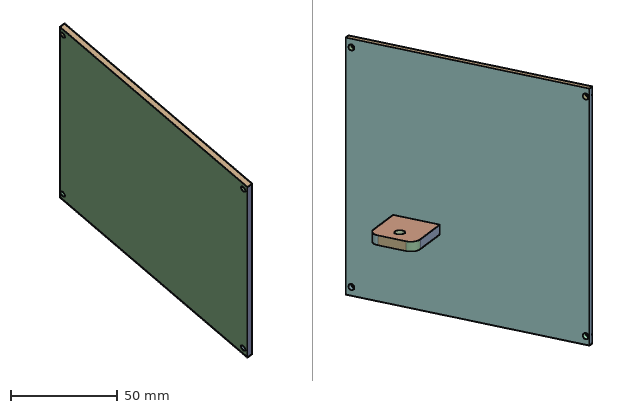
import cadquery as cq

plate_width = 130.0
plate_height = 132.0
plate_thickness = 3.0

mount_hole_diameter = 3.0
left_hole_inset = 2.0
right_hole_inset = 3.0
hole_end_inset = 4.5

overall_depth = 28.0
lug_length = overall_depth - plate_thickness
lug_width = 25.0
lug_thickness = 5.0
lug_left = 79.7
lug_bottom = 41.0
lug_corner_radius = 5.0
lug_hole_diameter = 5.0
lug_hole_tip_distance = 8.0


def make_plate():
    """Flat plate with four through holes."""
    plate = cq.Workplane("XY").box(plate_width, plate_thickness, plate_height, centered=False)
    hole_centers = [
        (x, z)
        for x in (left_hole_inset, plate_width - right_hole_inset)
        for z in (hole_end_inset, plate_height - hole_end_inset)
    ]
    holes = (
        cq.Workplane("XZ")
        .pushPoints(hole_centers)
        .circle(mount_hole_diameter / 2)
        .extrude(-plate_thickness)
    )
    return plate.cut(holes)


def make_lug():
    """Tab with two rounded tip corners and a vertical pin hole."""
    tab = (
        cq.Workplane("XY")
        .box(lug_width, lug_length, lug_thickness, centered=False)
        .translate((lug_left, plate_thickness, lug_bottom))
        .edges("|Z and >Y")
        .fillet(lug_corner_radius)
    )
    pin_hole = (
        cq.Workplane("XY", origin=(0, 0, lug_bottom))
        .center(lug_left + lug_width / 2, overall_depth - lug_hole_tip_distance)
        .circle(lug_hole_diameter / 2)
        .extrude(lug_thickness)
    )
    return tab.cut(pin_hole)


result = make_plate().union(make_lug())